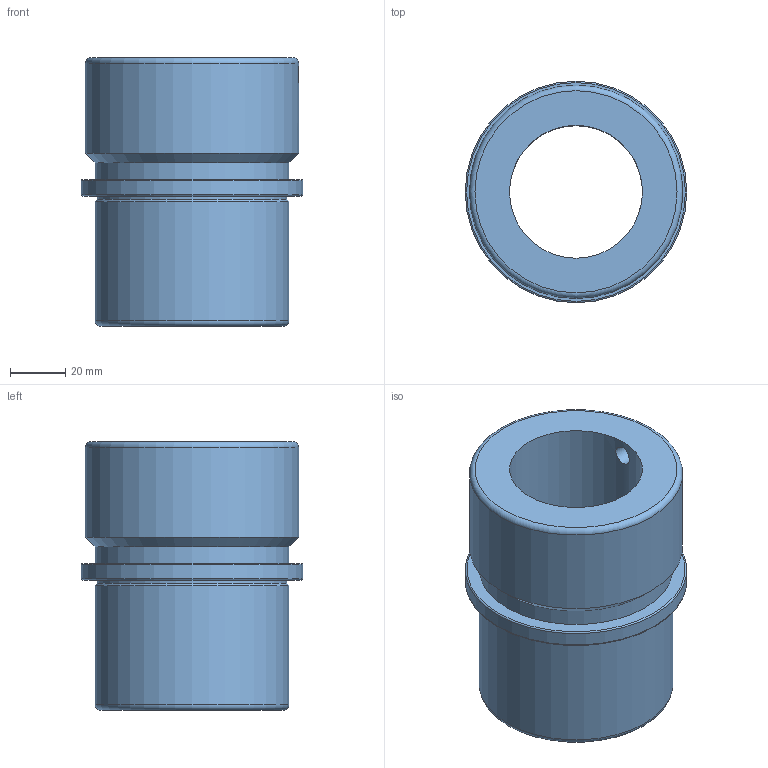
import cadquery as cq

total_height = 97.0
bore_radius = 24.0
body_radius = 35.0
bottom_rounding = 2.0

groove_radius = 34.25
groove_height = 1.2
groove_chamfer = body_radius - groove_radius

flange_radius = 40.0
flange_bottom = 47.0
flange_thickness = 6.0
flange_top = flange_bottom + flange_thickness
flange_rounding = 0.5

head_radius = 38.5
head_bottom = 59.0
head_taper = head_radius - body_radius
head_rounding = 2.0

hole_diameter = 6.8
hole_depth_below_top = 6.0


def disc(radius, bottom, top):
    """Solid cylinder about Z between two heights."""
    return cq.Workplane("XY").workplane(offset=bottom).circle(radius).extrude(top - bottom)


def make_body():
    """Lower spigot with a rounded foot and a chamfered shoulder at the groove."""
    shoulder = flange_bottom - groove_height
    spigot = disc(body_radius, 0, shoulder)
    spigot = spigot.faces("<Z").edges().fillet(bottom_rounding)
    spigot = spigot.faces(">Z").edges().chamfer(groove_chamfer)
    groove = disc(groove_radius, shoulder, flange_bottom)
    return spigot.union(groove)


def make_flange():
    """Flange ring with both rims rounded."""
    return disc(flange_radius, flange_bottom, flange_top).edges().fillet(flange_rounding)


def make_head():
    """Head with a rounded top rim and a conical underside running into the neck."""
    head = disc(head_radius, head_bottom, total_height)
    head = head.faces("<Z").edges().chamfer(head_taper)
    head = head.faces(">Z").edges().fillet(head_rounding)
    neck = disc(body_radius, flange_top, head_bottom)
    return head.union(neck)


def make_radial_hole():
    """Cutter running from the axis outward along +X."""
    return (
        cq.Workplane("YZ")
        .center(0, total_height - hole_depth_below_top)
        .circle(hole_diameter / 2)
        .extrude(flange_radius)
    )


sleeve = make_body().union(make_flange()).union(make_head())
bore = disc(bore_radius, 0, total_height)
result = sleeve.cut(bore).cut(make_radial_hole())